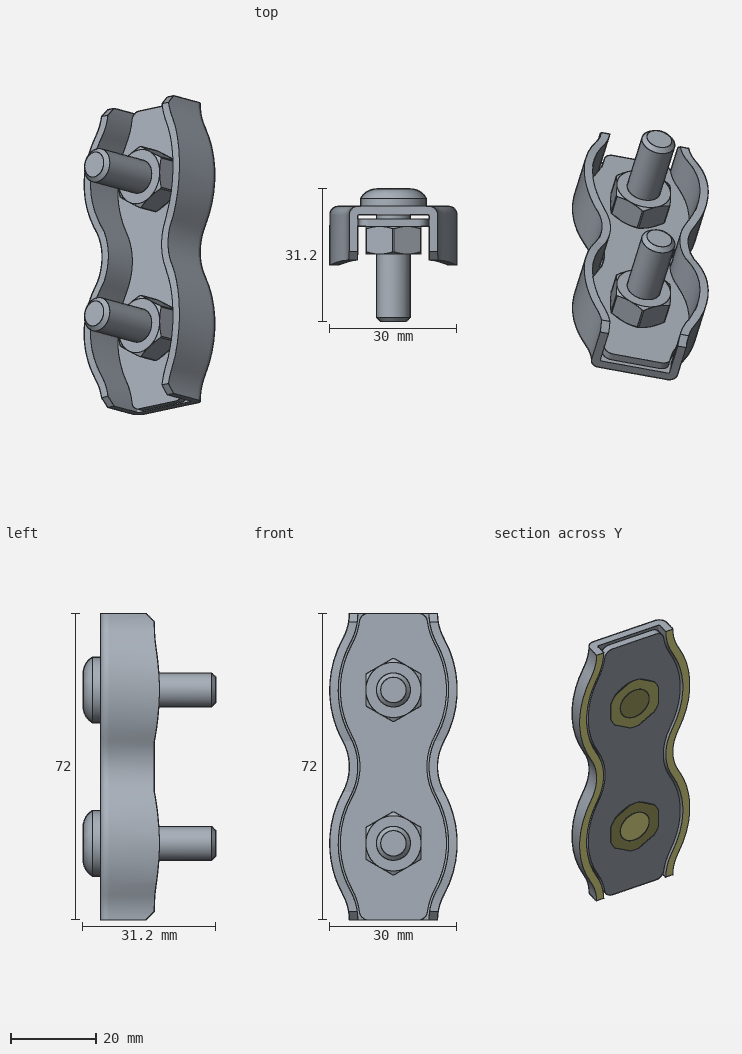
import cadquery as cq
import math


LENGTH = 72.0
SHEET = 2.0

BELLY_HALF_WIDTH = 15.0
WAIST_HALF_WIDTH = 10.4

WALL_DEPTH = 12.7
WALL_BULGE = 1.15
BULGE_BLEND_RADIUS = 33.85
WALL_CORNER_CHAMFER = 2.0
OUTER_BEND_RADIUS = 2.0
INNER_BEND_RADIUS = 0.35

PLATE_GAP = 0.9
PLATE_THICKNESS = 1.8
PLATE_CLEARANCE = 0.5
PLATE_CORNER_RADIUS = 2.15

SHANK_DIAMETER = 8.0
SCREW_REACH = 27.1
TIP_CHAMFER = 1.0
HEAD_DIAMETER = 15.5
HEAD_HEIGHT = 4.1
HEAD_RIM_HEIGHT = 1.9
HEAD_FLAT_RADIUS = 3.9

NUT_ACROSS_FLATS = 12.95
NUT_ACROSS_CORNERS = 14.75
HEXAGON_HALF_ANGLE = 30.0
NUT_HEIGHT = 6.5
NUT_CHAMFER_ANGLE = 30.0

HALF_LENGTH = LENGTH / 2
SCREW_Z = LENGTH / 4
SHANK_RADIUS = SHANK_DIAMETER / 2
HEAD_RADIUS = HEAD_DIAMETER / 2
PLATE_BACK_Y = -(SHEET + PLATE_GAP)
PLATE_FRONT_Y = PLATE_BACK_Y - PLATE_THICKNESS
TOOL_OVERRUN = 3.6

ARC_ANGLE = 2 * math.atan((BELLY_HALF_WIDTH - WAIST_HALF_WIDTH) / SCREW_Z)
ARC_RADII_SUM = SCREW_Z / math.sin(ARC_ANGLE)
WAIST_RADIUS = ARC_RADII_SUM / 3
INFLECTION_Z = WAIST_RADIUS * math.sin(ARC_ANGLE)


def waisted_prism(inset, back_y, depth, overrun=0.0):
    """Prism of the waisted outline moved inward by inset, from back_y toward -Y."""
    waist_x = WAIST_HALF_WIDTH - inset
    belly_x = BELLY_HALF_WIDTH - inset
    waist_radius = WAIST_RADIUS + inset
    inflection_x = waist_x + waist_radius * (1 - math.cos(ARC_ANGLE))
    inflection_z = waist_radius * math.sin(ARC_ANGLE)
    outer_inflection_z = HALF_LENGTH - inflection_z
    end_arc_x = waist_x + waist_radius * (1 - math.cos(ARC_ANGLE / 2))
    end_arc_z = HALF_LENGTH - waist_radius * math.sin(ARC_ANGLE / 2)

    right_arcs = [
        ((end_arc_x, -end_arc_z), (inflection_x, -outer_inflection_z)),
        ((belly_x, -SCREW_Z), (inflection_x, -inflection_z)),
        ((waist_x, 0), (inflection_x, inflection_z)),
        ((belly_x, SCREW_Z), (inflection_x, outer_inflection_z)),
        ((end_arc_x, end_arc_z), (waist_x, HALF_LENGTH)),
    ]
    left_arcs = [[(-x, -z) for x, z in arc] for arc in right_arcs]
    end_z = HALF_LENGTH + overrun

    outline = cq.Workplane("XZ", origin=(0, back_y, 0)).moveTo(waist_x, -end_z)
    for arcs, direction in ((right_arcs, 1), (left_arcs, -1)):
        if overrun:
            outline = outline.lineTo(direction * waist_x, -direction * HALF_LENGTH)
        for middle, end in arcs:
            outline = outline.threePointArc(middle, end)
        if overrun:
            outline = outline.lineTo(direction * waist_x, direction * end_z)
        if direction == 1:
            outline = outline.lineTo(-waist_x, end_z)
    return outline.close().extrude(depth)


def round_back_edges(prism, radius):
    """Round the back edges along both curved sides, not the two straight ends."""
    return prism.faces(">Y").edges("not |X").fillet(radius)


def screw_holes(depth):
    return (
        cq.Workplane("XZ")
        .pushPoints([(0, SCREW_Z), (0, -SCREW_Z)])
        .circle(SHANK_RADIUS)
        .extrude(depth)
    )


def wall_side_profile():
    """Side silhouette of the channel: bulged wall edges and chamfered corners."""
    edge_y = -WALL_DEPTH
    half_chord = SCREW_Z - INFLECTION_Z
    bulge_radius = (half_chord**2 + WALL_BULGE**2) / (2 * WALL_BULGE)
    bulge_center_y = edge_y - WALL_BULGE + bulge_radius

    blend_center_y = edge_y - BULGE_BLEND_RADIUS
    center_distance = bulge_radius + BULGE_BLEND_RADIUS
    blend_angle = math.acos((bulge_center_y - blend_center_y) / center_distance)
    blend_start_z = SCREW_Z + center_distance * math.sin(blend_angle)

    def blend_point(angle):
        return (
            blend_center_y + BULGE_BLEND_RADIUS * math.cos(angle),
            blend_start_z - BULGE_BLEND_RADIUS * math.sin(angle),
        )

    def flip(point):
        return (point[0], -point[1])

    blend_start = (edge_y, blend_start_z)
    blend_middle = blend_point(blend_angle / 2)
    blend_end = blend_point(blend_angle)
    bulge_peak = (edge_y - WALL_BULGE, SCREW_Z)
    bulge_end = (edge_y, INFLECTION_Z)
    chamfer_low = (edge_y, HALF_LENGTH - WALL_CORNER_CHAMFER)
    chamfer_high = (edge_y + WALL_CORNER_CHAMFER, HALF_LENGTH)

    return (
        cq.Workplane("YZ")
        .moveTo(0, HALF_LENGTH)
        .lineTo(*chamfer_high)
        .lineTo(*chamfer_low)
        .lineTo(*blend_start)
        .threePointArc(blend_middle, blend_end)
        .threePointArc(bulge_peak, bulge_end)
        .lineTo(*flip(bulge_end))
        .threePointArc(flip(bulge_peak), flip(blend_end))
        .threePointArc(flip(blend_middle), flip(blend_start))
        .lineTo(*flip(chamfer_low))
        .lineTo(*flip(chamfer_high))
        .lineTo(0, -HALF_LENGTH)
        .close()
        .extrude(BELLY_HALF_WIDTH + TOOL_OVERRUN, both=True)
    )


def make_channel():
    depth = WALL_DEPTH + WALL_BULGE + TOOL_OVERRUN
    outside = round_back_edges(waisted_prism(0, 0, depth), OUTER_BEND_RADIUS)
    inside = waisted_prism(SHEET, -SHEET, depth, overrun=TOOL_OVERRUN)
    inside = round_back_edges(inside, INNER_BEND_RADIUS)
    channel = outside.cut(inside).intersect(wall_side_profile())
    return channel.cut(screw_holes(depth))


def make_plate():
    plate = waisted_prism(SHEET + PLATE_CLEARANCE, PLATE_BACK_Y, PLATE_THICKNESS)
    for end_face in (">Z", "<Z"):
        plate = plate.faces(end_face).edges("|Y").fillet(PLATE_CORNER_RADIUS)
    return plate.cut(screw_holes(-PLATE_FRONT_Y))


def make_screw(z):
    """Round-headed screw, revolved about its axis along Y."""
    dome_height = HEAD_HEIGHT - HEAD_RIM_HEIGHT
    dome_width = HEAD_RADIUS - HEAD_FLAT_RADIUS
    dome_radius = (dome_width**2 + dome_height**2) / (2 * dome_height)
    half_angle = math.atan(dome_height / dome_width)
    dome_middle = (
        HEAD_FLAT_RADIUS + dome_radius * math.sin(half_angle),
        HEAD_HEIGHT - dome_radius * (1 - math.cos(half_angle)),
    )
    return (
        cq.Workplane("XY", origin=(0, 0, z))
        .moveTo(0, -SCREW_REACH)
        .lineTo(SHANK_RADIUS - TIP_CHAMFER, -SCREW_REACH)
        .lineTo(SHANK_RADIUS, -SCREW_REACH + TIP_CHAMFER)
        .lineTo(SHANK_RADIUS, 0)
        .lineTo(HEAD_RADIUS, 0)
        .lineTo(HEAD_RADIUS, HEAD_RIM_HEIGHT)
        .threePointArc(dome_middle, (HEAD_FLAT_RADIUS, HEAD_HEIGHT))
        .lineTo(0, HEAD_HEIGHT)
        .close()
        .revolve(360, (0, 0), (0, 1))
    )


def make_nut(z):
    """Hexagon nut against the plate, corners along Z, turned round and chamfered."""
    flat_radius = NUT_ACROSS_FLATS / 2
    corner_radius = NUT_ACROSS_CORNERS / 2
    sharp_corner_radius = flat_radius / math.cos(math.radians(HEXAGON_HALF_ANGLE))
    chamfer = (corner_radius - flat_radius) * math.tan(math.radians(NUT_CHAMFER_ANGLE))
    hexagon = (
        cq.Workplane("XZ", origin=(0, PLATE_FRONT_Y, z))
        .transformed(rotate=(0, 0, HEXAGON_HALF_ANGLE))
        .polygon(6, 2 * sharp_corner_radius)
        .circle(SHANK_RADIUS)
        .extrude(NUT_HEIGHT)
    )
    turned_blank = (
        cq.Workplane("XY", origin=(0, PLATE_FRONT_Y, z))
        .polyline([
            (0, 0),
            (flat_radius, 0),
            (corner_radius, -chamfer),
            (corner_radius, chamfer - NUT_HEIGHT),
            (flat_radius, -NUT_HEIGHT),
            (0, -NUT_HEIGHT),
        ])
        .close()
        .revolve(360, (0, 0), (0, 1))
    )
    return hexagon.intersect(turned_blank)


channel = make_channel()
plate = make_plate()
screws = []
nuts = []
for screw_z in (SCREW_Z, -SCREW_Z):
    screws.append(make_screw(screw_z).val())
    nuts.append(make_nut(screw_z).val())

result = cq.Compound.makeCompound([channel.val(), plate.val(), *screws, *nuts])